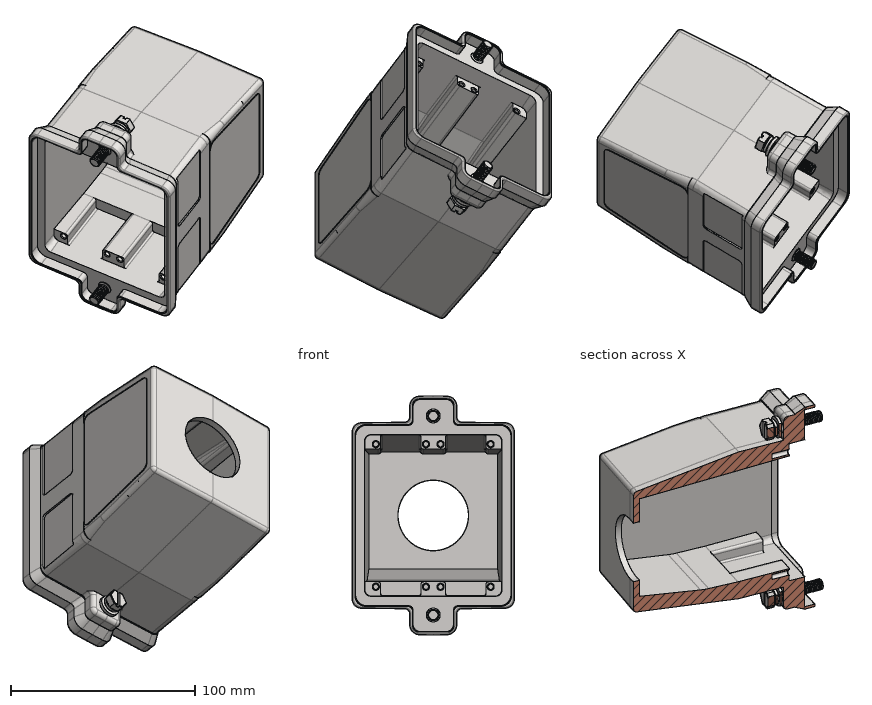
import cadquery as cq
import math

z_draft = 0.013
back_drop = 0.8

flange_half_x = 44.14
flange_half_z = 51.0
flange_depth = 6.2
flange_corner = 5.2
taper_end = 12.2
rim_wall = 2.0
rim_round = 0.8
rim_chamfer = 0.4
recess_corner = 5.8

ear_half_x = 12.9
ear_half_z = 65.0
ear_corner = 5.7
ear_inner_corner = 2.6
boss_half_x = 10.1
boss_half_z = 62.0
boss_corner = 3.4
boss_back = 19.1
boss_round = 2.5
boss_root_round = 2.1

hood_root_x = 41.3
hood_waist_x = 41.0
hood_half_z = 47.3
hood_corner = 4.5
bend_y = 46.3
waist_y = 49.4
rear_half_x = 41.5
rear_corner = 2.7
rear_blend_y = 64.2
back_y = 109.8
back_half_z = 38.6
back_round = 2.3
rear_slope = (hood_half_z - back_half_z) / (back_y - bend_y)

grip_front, grip_back = 14.2, 39.4
grip_floor_x = 40.3
grip_rib_half = 6.9
grip_corner = 2.3
panel_back = 103.5
panel_depth = 0.4
panel_margin_z = 6.5
panel_corner = 3.9

mouth_half_x = 37.5
mouth_half_z = 44.0
mouth_corner = 3.8
cavity_back = 106.0
cavity_back_half_x = 35.0
pocket_half_z = 43.4
cavity_back_top = 34.5
cavity_back_bottom = -29.0
cable_hole_radius = 19.1
ledge_z = 36.0
ledge_rear_z = 35.4
ledge_slope_y = 67.0
ledge_bend_radius = 39.0
pocket_end = 46.8

post_front = 15.6
post_centre_half_x = 6.8
post_side_x = 28.6
post_top_rear_z = 33.3
post_round = 1.5
post_root_round = 1.0
post_root_min_length = 10.4
post_hole_x = (3.96, 31.2)
post_hole_z = 38.7
post_hole_radius = 1.4
post_hole_mouth = 0.5
post_hole_depth = 10.4

screw_z = 54.1
upper_screw_tip = -5.2
lower_screw_tip = -5.6
thread_radius = 3.05
thread_root = 2.54
thread_pitch = 1.0
thread_turns = 11
thread_lead = 0.5
shank_radius = 3.8
shank_start = 11.5
washer_radius = 6.0
washer_start, washer_end = 25.4, 27.0
spring_radius = 4.8
spring_start, spring_end = 27.8, 29.4
neck_radius = 3.6
head_start, head_end = 30.0, 34.3
head_across_flats = 10.0
head_round = 0.4
slot_width = 1.5
slot_depth = 1.4


def rounded_wire(y, corners):
    """Closed outline at station y; each corner is (x, z, radius)."""
    points = [cq.Vector(x, y, z) for x, z, _ in corners]
    face = cq.Face.makeFromWires(cq.Wire.makePolygon(points, close=True))
    for point, (_, _, radius) in zip(points, corners):
        if radius > 0:
            vertex = min(face.Vertices(), key=lambda v: (cq.Vector(*v.toTuple()) - point).Length)
            face = face.fillet2D(radius, [vertex])
    return face.outerWire()


def four_way(quarter, peak_z):
    """Full outline from the +X +Z quarter, listed from the side to the parting plane."""
    top = quarter + [(0, peak_z, 0)] + [(-x, z, r) for x, z, r in reversed(quarter)]
    return top + [(x, -z, r) for x, z, r in reversed(top)]


def hood_wire(y, half_x, half_z, corner):
    return rounded_wire(y, four_way([(half_x, half_z - z_draft * half_x, corner)], half_z))


def flange_wire(y, inset, corner, tip_corner, root_corner, draft=z_draft):
    """Flange outline with both ears, moved inwards by inset."""
    half_x = flange_half_x - inset
    half_z = flange_half_z - inset
    ear_x = ear_half_x - inset
    ear_z = ear_half_z - inset
    quarter = [
        (half_x, half_z - draft * half_x, corner),
        (ear_x, half_z - draft * ear_x, root_corner),
        (ear_x, ear_z - draft * ear_x, tip_corner),
    ]
    return rounded_wire(y, four_way(quarter, ear_z))


def loft(*wires):
    return cq.Workplane(obj=cq.Solid.makeLoft(list(wires), True))


def side_profile(points):
    """Closed outline in (y, z), drawn on the X = 0 plane."""
    return cq.Workplane("YZ").polyline(points).close()


def box(x0, x1, y0, y1, z0, z1):
    return cq.Workplane(obj=cq.Solid.makeBox(x1 - x0, y1 - y0, z1 - z0, cq.Vector(x0, y0, z0)))


def cylinder(radius, y0, y1, x=0, z=0):
    return cq.Workplane(obj=cq.Solid.makeCylinder(radius, y1 - y0, cq.Vector(x, y0, z), cq.Vector(0, 1, 0)))


def make_flange():
    rim = loft(
        flange_wire(0, 0, flange_corner, ear_corner, ear_inner_corner),
        flange_wire(flange_depth, 0, flange_corner, ear_corner, ear_inner_corner),
    ).faces("<Y").edges().fillet(rim_round)
    inset = flange_half_x - hood_root_x
    taper = loft(
        flange_wire(flange_depth, 0, flange_corner, ear_corner, ear_inner_corner),
        flange_wire(taper_end, inset, hood_corner, boss_corner, ear_inner_corner),
    )
    return rim.union(taper)


def make_bosses():
    """Both screw bosses as one bar, rounded at the back, with flared roots on the hood wall."""
    foot_x = boss_half_x + 2 * boss_root_round
    quarter = [
        (foot_x, hood_half_z - z_draft * foot_x, 0),
        (boss_half_x, hood_half_z - z_draft * boss_half_x, boss_root_round),
        (boss_half_x, boss_half_z - z_draft * boss_half_x, boss_corner),
    ]
    outline = four_way(quarter, boss_half_z)
    bar = loft(rounded_wire(taper_end, outline), rounded_wire(boss_back, outline))
    return bar.faces(">Y").edges().fillet(boss_round)


def make_hood():
    side_draft = (hood_root_x - hood_waist_x) / (waist_y - taper_end)
    bend_x = hood_waist_x + side_draft * (waist_y - bend_y)
    waist_z = hood_half_z - rear_slope * (waist_y - bend_y)
    blend_z = hood_half_z - rear_slope * (rear_blend_y - bend_y)
    front = loft(
        hood_wire(taper_end, hood_root_x, hood_half_z, hood_corner),
        hood_wire(bend_y, bend_x, hood_half_z, hood_corner),
        hood_wire(waist_y, hood_waist_x, waist_z, hood_corner),
    )
    rear = loft(
        hood_wire(waist_y, rear_half_x, waist_z, hood_corner),
        hood_wire(rear_blend_y, rear_half_x, blend_z, rear_corner),
        hood_wire(back_y, rear_half_x, back_half_z, rear_corner),
    )
    gable = (
        cq.Workplane("XY", origin=(0, 0, -hood_half_z))
        .polyline([
            (-rear_half_x, 0), (rear_half_x, 0), (rear_half_x, back_y - back_drop),
            (0, back_y), (-rear_half_x, back_y - back_drop),
        ])
        .close()
        .extrude(2 * hood_half_z)
    )
    rear = rear.intersect(gable)
    back_rim = [
        edge for edge in rear.edges().vals()
        if edge.Center().y > back_y - back_round and math.hypot(edge.Center().x, edge.Center().z) > 1.3
    ]
    rear = rear.newObject(back_rim).fillet(back_round)
    return front.union(rear)


def make_grip_recesses():
    """Four shallow finger pockets, two per side, beside a middle rib."""
    recesses = []
    for side in (-1, 1):
        for end in (-1, 1):
            recess = box(
                grip_floor_x, flange_half_x, grip_front, grip_back, grip_rib_half, hood_half_z
            ).edges("|X and <Z").fillet(grip_corner)
            if side < 0:
                recess = recess.mirror("YZ")
            if end < 0:
                recess = recess.mirror("XY")
            recesses.append(recess)
    return recesses


def make_panel_recesses():
    """Shallow label panel in each side, ending where the rear part steps down to the waist."""
    def panel_z(y):
        return hood_half_z - rear_slope * (y - bend_y) - panel_margin_z

    outline = side_profile([
        (waist_y, panel_z(waist_y)), (panel_back, panel_z(panel_back)),
        (panel_back, -panel_z(panel_back)), (waist_y, -panel_z(waist_y)),
    ])
    recess = outline.extrude(panel_depth).edges("|X").fillet(panel_corner)
    floor_x = rear_half_x - panel_depth
    return [recess.translate((floor_x, 0, 0)), recess.translate((-rear_half_x, 0, 0))]


def make_mouth():
    """Recess inside the flange rim, with a chamfered inner edge."""
    corners = (recess_corner, ear_corner - rim_wall, ear_inner_corner, 0)
    return loft(
        flange_wire(0, rim_wall - rim_chamfer, *corners),
        flange_wire(rim_chamfer, rim_wall, *corners),
        flange_wire(flange_depth, rim_wall, *corners),
    )


def make_cavity():
    envelope = loft(*[
        rounded_wire(y, [
            (half_x, mouth_half_z, mouth_corner), (-half_x, mouth_half_z, mouth_corner),
            (-half_x, -mouth_half_z, mouth_corner), (half_x, -mouth_half_z, mouth_corner),
        ])
        for y, half_x in ((flange_depth, mouth_half_x), (cavity_back, cavity_back_half_x))
    ])
    profile = side_profile([
        (flange_depth, mouth_half_z), (bend_y, pocket_half_z), (cavity_back, cavity_back_top),
        (cavity_back, cavity_back_bottom), (ledge_slope_y, -ledge_rear_z), (pocket_end, -ledge_z),
        (pocket_end, -pocket_half_z), (flange_depth, -mouth_half_z),
    ])
    core = profile.extrude(mouth_half_x, both=True)
    core = core.edges(cq.selectors.NearestToPointSelector((0, ledge_slope_y, -ledge_rear_z)))
    return envelope.intersect(core.fillet(ledge_bend_radius))


def make_posts(cavity):
    """Screw posts along the top and bottom of the cavity: one in the middle, two in the corners."""
    spans = (
        (-mouth_half_x, -post_side_x),
        (-post_centre_half_x, post_centre_half_x),
        (post_side_x, mouth_half_x),
    )
    top = [
        (post_front, ledge_z), (cavity_back, post_top_rear_z),
        (cavity_back, mouth_half_z), (post_front, mouth_half_z),
    ]
    bottom = [
        (post_front, -ledge_z), (pocket_end, -ledge_z),
        (pocket_end, -mouth_half_z), (post_front, -mouth_half_z),
    ]
    posts = []
    for x0, x1 in spans:
        for profile, inner_edges in ((top, "<Z"), (bottom, ">Z")):
            post = side_profile(profile).extrude(x1 - x0).translate((x0, 0, 0))
            for face, on_wall in (("<X", x0 == -mouth_half_x), (">X", x1 == mouth_half_x)):
                if not on_wall:
                    post = post.faces(face).edges(inner_edges).fillet(post_round)
            posts.append(post.intersect(cavity))
    return posts


def round_post_roots(cavity):
    """Fillets where the post sides run into the top and bottom walls."""
    roots = []
    for edge in cavity.edges().vals():
        centre = edge.Center()
        on_side = min(abs(abs(centre.x) - x) for x in (post_centre_half_x, post_side_x)) < 0.01
        at_wall = abs(centre.z) > post_hole_z and centre.y > post_front + 1.3
        if on_side and at_wall and edge.Length() > post_root_min_length:
            roots.append(edge)
    return cavity.newObject(roots).fillet(post_root_round)


def make_post_holes():
    holes = []
    for x in post_hole_x:
        for side in (-1, 1):
            for end in (-1, 1):
                place = cq.Vector(side * x, post_front, end * post_hole_z)
                axis = cq.Vector(0, 1, 0)
                wide = post_hole_radius + post_hole_mouth
                sink = cq.Solid.makeCone(wide, post_hole_radius, post_hole_mouth, place, axis)
                bore = cq.Solid.makeCylinder(post_hole_radius, post_hole_depth, place, axis)
                holes += [cq.Workplane(obj=sink), cq.Workplane(obj=bore)]
    return holes


def make_housing():
    cavity = make_cavity()
    for post in make_posts(cavity):
        cavity = cavity.cut(post)
    cavity = round_post_roots(cavity)
    shell = make_flange().union(make_bosses()).union(make_hood())
    cuts = [make_mouth(), cavity, cylinder(cable_hole_radius, bend_y, back_y + 1.3)]
    cuts += make_grip_recesses() + make_panel_recesses() + make_post_holes()
    cuts += [cylinder(shank_radius, 0, boss_back + 1.3, z=z) for z in (-screw_z, screw_z)]
    for cut in cuts:
        shell = shell.cut(cut)
    return shell


def make_screw(tip_y, z):
    """Slotted hex screw with flat washer and spring washer, tip towards -Y."""
    profile = [(0, 0), (thread_root, 0)]
    for turn in range(thread_turns):
        start = thread_lead + turn * thread_pitch
        profile += [(thread_radius, start), (thread_root, start + thread_pitch / 2)]
    for radius, start, end in (
        (shank_radius, shank_start, washer_start),
        (washer_radius, washer_start, washer_end),
        (neck_radius, washer_end, spring_start),
        (spring_radius, spring_start, spring_end),
        (neck_radius, spring_end, head_start),
    ):
        profile += [(radius, start), (radius, end)]
    profile.append((0, head_start))
    stem = cq.Workplane("XY").polyline(profile).close().revolve(360, (0, 0, 0), (0, 1, 0))
    across_corners = head_across_flats / math.cos(math.pi / 6)
    head = (
        cq.Workplane("XZ", origin=(0, head_start, 0))
        .polygon(6, across_corners)
        .extrude(head_start - head_end)
        .faces(">Y")
        .edges()
        .chamfer(head_round)
    )
    slot = box(
        -slot_width / 2, slot_width / 2, head_end - slot_depth, head_end + 1.3,
        -head_across_flats, head_across_flats,
    )
    return stem.union(head).cut(slot).translate((0, tip_y, z))


housing = make_housing()
screws = [
    make_screw(tip_y, z)
    for tip_y, z in ((upper_screw_tip, screw_z), (lower_screw_tip, -screw_z))
]

result = cq.Compound.makeCompound([housing.val(), *[screw.val() for screw in screws]])